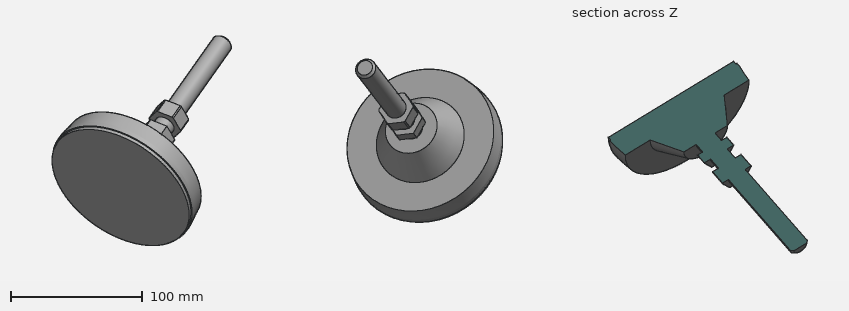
import cadquery as cq
import math

total_height = 167.0

pad_diameter = 120.0
lip_inset = 1.0
lip_height = 3.0
band_top = 7.0
pad_height = 21.0
pad_top_radius = 58.3
hub_base_radius = 34.9
hub_top_radius = 20.5
hub_top = 45.0

sleeve_diameter = 18.0
rod_diameter = 16.0
tip_chamfer = 2.0

across_flats = 24.0
fixed_hex_bottom = 53.0
fixed_hex_height = 9.2
lock_nut_bottom = 72.0
lock_nut_height = 13.2
lock_nut_corner_diameter = 27.0


def foot_body():
    """Revolve the pad, hub, sleeve and rod about the Y axis."""
    pad_radius = pad_diameter / 2
    lip_radius = pad_radius - lip_inset
    sleeve_radius = sleeve_diameter / 2
    rod_radius = rod_diameter / 2
    profile = [
        (0, 0),
        (lip_radius, 0),
        (lip_radius, lip_height),
        (pad_radius, lip_height),
        (pad_radius, band_top),
        (pad_top_radius, pad_height),
        (hub_base_radius, pad_height),
        (hub_top_radius, hub_top),
        (sleeve_radius, hub_top),
        (sleeve_radius, fixed_hex_bottom),
        (rod_radius, fixed_hex_bottom),
        (rod_radius, total_height - tip_chamfer),
        (rod_radius - tip_chamfer, total_height),
        (0, total_height),
    ]
    return cq.Workplane("XY").polyline(profile).close().revolve(360, (0, 0), (0, 1))


def plane_at(height):
    """Workplane across the stem, facing -Y, so negative extrusions rise along the stem."""
    return cq.Workplane("XZ", origin=(0, height, 0))


def hexagon(bottom, height):
    """Hexagonal prism around the stem with two corners on the X axis."""
    across_corners = across_flats / math.cos(math.pi / 6)
    return plane_at(bottom).polygon(6, across_corners).extrude(-height)


def lock_nut():
    """Hexagonal nut whose six corners are rounded by a coaxial cylinder."""
    corner_limit = plane_at(lock_nut_bottom).circle(lock_nut_corner_diameter / 2).extrude(-lock_nut_height)
    return hexagon(lock_nut_bottom, lock_nut_height).intersect(corner_limit)


result = foot_body().union(hexagon(fixed_hex_bottom, fixed_hex_height)).union(lock_nut())